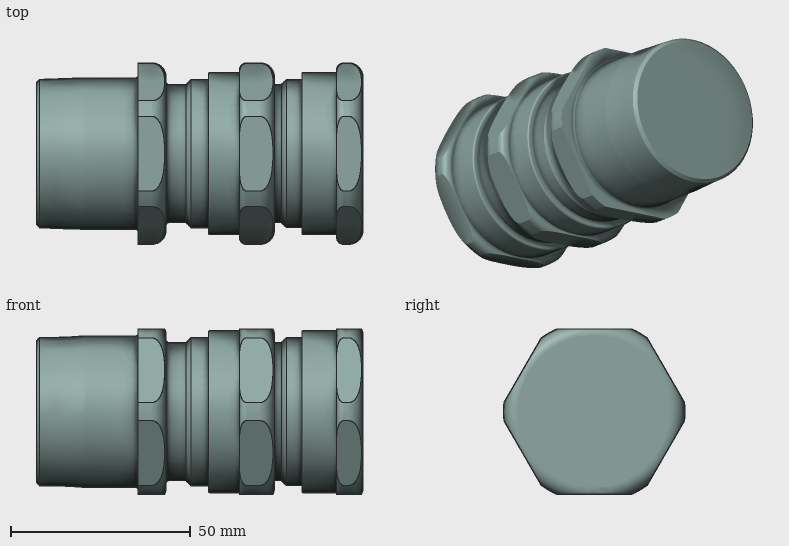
import cadquery as cq
import math

total_length = 90.77

taper_end = 13.4
entry_hex_start = 28.2
entry_hex_length = 7.85
entry_neck_end = 41.55
body_start = 47.8
body_hex_start = 56.4
body_hex_length = 9.75
body_neck_end = 68.05
nut_start = 73.75
nut_hex_start = 83.4

taper_tip_radius = 41.27 / 2
entry_radius = 42.16 / 2
neck_radius = 38.4 / 2
entry_thread_radius = 41.27 / 2
body_thread_radius = 41.16 / 2
collar_radius = 45.15 / 2

hex_across_flats = 46.0
hex_corner_radius = 50.47 / 2
hex_back_round = 4.0
hex_front_round = 2.0

tip_chamfer = 0.9
entry_hex_fillet = 0.55
neck_fillet = 0.75
collar_edge_round = 0.5

entry_hex_end = entry_hex_start + entry_hex_length
body_hex_end = body_hex_start + body_hex_length


def revolve_profile(profile):
    """Turn a closed profile, drawn as (x, radius), about the X axis."""
    return profile.close().revolve(360, (0, 0, 0), (1, 0, 0))


def cylinder(start, end, radius):
    return cq.Workplane("YZ", origin=(start, 0, 0)).circle(radius).extrude(end - start)


def rounded_hex(start, end, front_round=0.0):
    """Hexagon whose corners are turned to a cylinder with rounded ends."""
    hex_circumscribed_diameter = hex_across_flats / math.cos(math.pi / 6)
    prism = (
        cq.Workplane("YZ", origin=(start, 0, 0))
        .polygon(6, hex_circumscribed_diameter)
        .extrude(end - start)
    )
    blank = cylinder(start, end, hex_corner_radius).faces(">X").edges().fillet(hex_back_round)
    if front_round > 0:
        blank = blank.faces("<X").edges().fillet(front_round)
    return prism.intersect(blank)


def threaded_end(neck_start, neck_end, end, thread_radius):
    """Neck that widens through a 45 degree chamfer to a male thread."""
    thread_start = neck_end + thread_radius - neck_radius
    return revolve_profile(
        cq.Workplane("XY")
        .moveTo(neck_start, 0)
        .lineTo(neck_start, neck_radius)
        .lineTo(neck_end, neck_radius)
        .lineTo(thread_start, thread_radius)
        .lineTo(end, thread_radius)
        .lineTo(end, 0)
    )


def socket_collar(start, end):
    """Round collar with a rounded front edge, running up to a hexagon."""
    return cylinder(start, end, collar_radius).faces("<X").edges().fillet(collar_edge_round)


def entry_spigot():
    """Chamfered, tapered thread with a small fillet against the hexagon."""
    return revolve_profile(
        cq.Workplane("XY")
        .lineTo(0, taper_tip_radius - tip_chamfer)
        .lineTo(tip_chamfer, taper_tip_radius)
        .lineTo(taper_end, entry_radius)
        .lineTo(entry_hex_start - entry_hex_fillet, entry_radius)
        .radiusArc((entry_hex_start, entry_radius + entry_hex_fillet), -entry_hex_fillet)
        .lineTo(entry_hex_start, 0)
    )


def neck_fillet_ring():
    """Concave fillet between the back of the entry hexagon and its neck."""
    return revolve_profile(
        cq.Workplane("XY")
        .moveTo(entry_hex_end, 0)
        .lineTo(entry_hex_end, neck_radius + neck_fillet)
        .radiusArc((entry_hex_end + neck_fillet, neck_radius), -neck_fillet)
        .lineTo(entry_hex_end + neck_fillet, 0)
    )


def make_entry_item():
    """Entry thread, plain-faced hexagon and the thread that enters the body."""
    return (
        rounded_hex(entry_hex_start, entry_hex_end)
        .union(entry_spigot())
        .union(neck_fillet_ring())
        .union(threaded_end(entry_hex_end, entry_neck_end, body_hex_start, entry_thread_radius))
    )


def make_gland_body():
    """Collar and hexagon around the entry thread, then the thread for the nut."""
    return (
        rounded_hex(body_hex_start, body_hex_end, hex_front_round)
        .union(socket_collar(body_start, body_hex_start))
        .union(threaded_end(body_hex_end, body_neck_end, nut_hex_start, body_thread_radius))
        .cut(cylinder(body_start, body_hex_start, entry_thread_radius))
    )


def make_outer_nut():
    """Collar that takes the body thread, closed by the end hexagon."""
    return (
        rounded_hex(nut_hex_start, total_length, hex_front_round)
        .union(socket_collar(nut_start, nut_hex_start))
        .cut(cylinder(nut_start, nut_hex_start, body_thread_radius))
    )


entry_item = make_entry_item()
gland_body = make_gland_body()
outer_nut = make_outer_nut()

result = cq.Compound.makeCompound(
    [body.solids().val() for body in (entry_item, gland_body, outer_nut)]
)